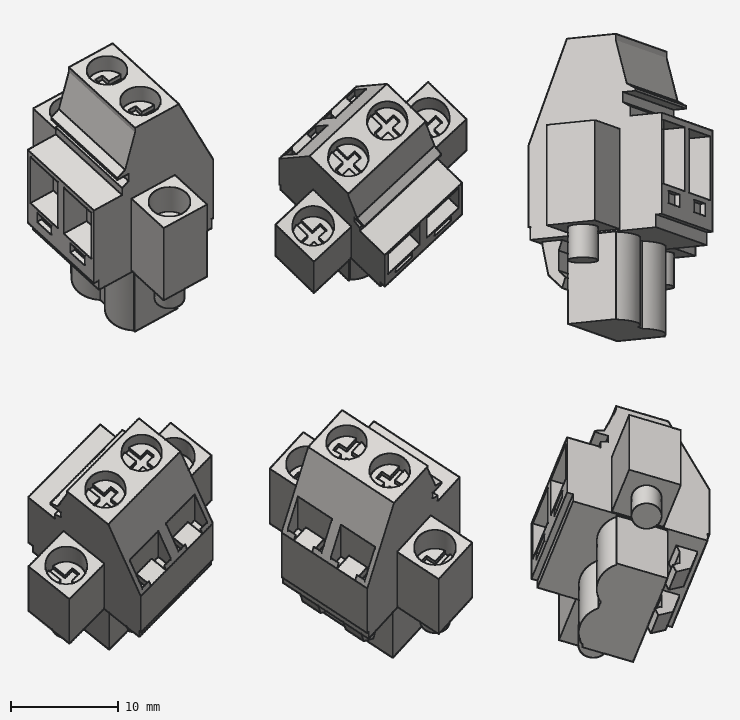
import cadquery as cq

POLE_PITCH = 5.1
POLE_X = (-POLE_PITCH / 2, POLE_PITCH / 2)

TOTAL_HEIGHT = 27.1
HOUSING_BOTTOM = 8.32
STEP_TOP = 9.55
LEDGE_TOP = 19.15
BACK_SLOPE_BOTTOM = 17.3

HOUSING_WIDTH = 10.14
BACK_Y = 7.1
FRONT_Y = -7.0
BACK_STEP = 0.2
FRONT_STEP = 0.6
TOWER_BACK_Y = 3.04
TOWER_FRONT_Y = -2.15

TOWER_LIP_HEIGHT = 0.6
RIDGE_ROOT = (-3.3, 22.28)
RIDGE_TIP = (-4.23, 21.73)
RIDGE_BOTTOM = 21.5
GROOVE_Y = -2.9
GROOVE_BOTTOM = 20.55
NECK_Y = -3.65
NECK_TOP = 20.08

PLUG_WIDTH = 9.8
PLUG_BACK_Y = 3.0
PLUG_FRONT_Y = -2.03
RIB_WIDTH = 4.35
RIB_DEPTH = 0.98

WINDOW_WIDTH = 4.17
WINDOW_BOTTOM = 12.47
WINDOW_TOP = 18.54
WINDOW_DEPTH = 2.7
TEST_SLOT_WIDTH = 2.17
TEST_SLOT_BOTTOM = 10.79
TEST_SLOT_TOP = 11.98
TEST_SLOT_DEPTH = 0.55

LATCH_WIDTH = 2.15
LATCH_OUTLINE = [
    (6.4, HOUSING_BOTTOM),
    (6.4, 8.0),
    (5.77, 5.1),
    (4.3, 3.75),
    (3.95, 4.75),
    (4.65, 5.45),
    (4.65, 7.35),
    (4.3, HOUSING_BOTTOM),
]
RECESS_FRONT_Y = 5.25
POCKET_BACK_Y = 6.83
POCKET_WIDTH = 4.05
POCKET_DEPTH = 1.08

TOTAL_WIDTH = 19.97
FLANGE_DEPTH = 5.12
FLANGE_BOTTOM = 8.48
FLANGE_TOP = 18.02
FLANGE_SCREW_OFFSET = 7.55
FLANGE_SCREW_X = (-FLANGE_SCREW_OFFSET, FLANGE_SCREW_OFFSET)

FLANGE_HEAD_RADIUS = 1.95
FLANGE_HEAD_SINK = 3.25
FLANGE_HEAD_HEIGHT = 2.17
FLANGE_HEAD_TOP = FLANGE_TOP - FLANGE_HEAD_SINK
FLANGE_HEAD_BOTTOM = FLANGE_HEAD_TOP - FLANGE_HEAD_HEIGHT
SHANK_RADIUS = 1.4
SHANK_BOTTOM = 5.35
FLANGE_CROSS_LENGTH = 2.65

CLAMP_Y = 0.43
CLAMP_RADIUS = 1.9
CLAMP_SINK = 1.92
CLAMP_LENGTH = 4.06
CLAMP_TOP = TOTAL_HEIGHT - CLAMP_SINK
CLAMP_BOTTOM = CLAMP_TOP - CLAMP_LENGTH
CLAMP_CROSS_LENGTH = 2.5

SLOT_WIDTH = 0.6
CROSS_WIDTH = 0.85
DRIVE_DEPTH = 0.55


def block(x_centre, width, y_limits, z_limits):
    """Box centred on x_centre, between the given Y and Z limits."""
    y_low, y_high = y_limits
    z_low, z_high = z_limits
    size = (width, y_high - y_low, z_high - z_low)
    return cq.Workplane("XY").box(*size, centered=(True, False, False)).translate((x_centre, y_low, z_low))


def cylinder(x, y, radius, z_limits):
    """Upright cylinder at (x, y) between the given Z limits."""
    z_low, z_high = z_limits
    return cq.Workplane("XY", origin=(x, y, z_low)).circle(radius).extrude(z_high - z_low)


def side_profile(outline, x_centre, width):
    """Closed (Y, Z) outline extruded along X, centred on x_centre."""
    plane = cq.Workplane("YZ", origin=(x_centre, 0, 0))
    return plane.polyline(outline).close().extrude(width / 2, both=True)


def shell_block():
    """Main housing block with its tapered tower."""
    outline = [
        (BACK_Y - BACK_STEP, HOUSING_BOTTOM),
        (BACK_Y - BACK_STEP, STEP_TOP),
        (BACK_Y, STEP_TOP),
        (BACK_Y, BACK_SLOPE_BOTTOM),
        (TOWER_BACK_Y, TOTAL_HEIGHT),
        (TOWER_FRONT_Y, TOTAL_HEIGHT),
        (TOWER_FRONT_Y, TOTAL_HEIGHT - TOWER_LIP_HEIGHT),
        RIDGE_ROOT,
        RIDGE_TIP,
        (RIDGE_TIP[0], RIDGE_BOTTOM),
        (GROOVE_Y, RIDGE_BOTTOM),
        (GROOVE_Y, GROOVE_BOTTOM),
        (NECK_Y, NECK_TOP),
        (NECK_Y, LEDGE_TOP),
        (FRONT_Y, LEDGE_TOP),
        (FRONT_Y, STEP_TOP),
        (FRONT_Y + FRONT_STEP, STEP_TOP),
        (FRONT_Y + FRONT_STEP, HOUSING_BOTTOM),
    ]
    return side_profile(outline, 0, HOUSING_WIDTH)


def plug():
    """Plug below the housing: a flat back and one shallow arc per pole in front."""
    half_width = PLUG_WIDTH / 2
    sketch = cq.Workplane("XY").moveTo(-half_width, PLUG_BACK_Y).lineTo(-half_width, PLUG_FRONT_Y)
    for x in POLE_X:
        sketch = sketch.lineTo(x - RIB_WIDTH / 2, PLUG_FRONT_Y)
        sketch = sketch.threePointArc((x, PLUG_FRONT_Y - RIB_DEPTH), (x + RIB_WIDTH / 2, PLUG_FRONT_Y))
    sketch = sketch.lineTo(half_width, PLUG_FRONT_Y).lineTo(half_width, PLUG_BACK_Y)
    return sketch.close().extrude(HOUSING_BOTTOM)


def flanges():
    """Bar from flange to flange, passing through the housing."""
    y_limits = (-FLANGE_DEPTH / 2, FLANGE_DEPTH / 2)
    return block(0, TOTAL_WIDTH, y_limits, (FLANGE_BOTTOM, FLANGE_TOP))


def front_openings(x):
    """Wire window and the small test slot below it."""
    window_y = (FRONT_Y, FRONT_Y + WINDOW_DEPTH)
    slot_y = (FRONT_Y, FRONT_Y + TEST_SLOT_DEPTH)
    window = block(x, WINDOW_WIDTH, window_y, (WINDOW_BOTTOM, WINDOW_TOP))
    test_slot = block(x, TEST_SLOT_WIDTH, slot_y, (TEST_SLOT_BOTTOM, TEST_SLOT_TOP))
    return window.union(test_slot)


def latch_recess(x):
    """Notch in the sloping back, open to the rear, with a deeper pocket on either side of it."""
    notch_z = (BACK_SLOPE_BOTTOM, TOTAL_HEIGHT)
    pocket_z = (BACK_SLOPE_BOTTOM - POCKET_DEPTH, TOTAL_HEIGHT)
    tab_z = (pocket_z[0], BACK_SLOPE_BOTTOM)
    notch = block(x, LATCH_WIDTH, (RECESS_FRONT_Y, BACK_Y), notch_z)
    pocket = block(x, POCKET_WIDTH, (RECESS_FRONT_Y, POCKET_BACK_Y), pocket_z)
    tab = block(x, LATCH_WIDTH, (RECESS_FRONT_Y, BACK_Y), tab_z)
    return pocket.cut(tab).union(notch)


def clamp_screw_hole(x):
    """Blind hole that holds a clamp screw."""
    return cylinder(x, CLAMP_Y, CLAMP_RADIUS, (CLAMP_BOTTOM, TOTAL_HEIGHT))


def flange_screw_hole(x):
    """Through hole for a flange screw, widened from above for its head."""
    shank_hole = cylinder(x, 0, SHANK_RADIUS, (FLANGE_BOTTOM, FLANGE_TOP))
    head_hole = cylinder(x, 0, FLANGE_HEAD_RADIUS, (FLANGE_HEAD_BOTTOM, FLANGE_TOP))
    return shank_hole.union(head_hole)


def make_housing():
    body = shell_block().union(plug()).union(flanges())
    for x in POLE_X:
        body = body.union(side_profile(LATCH_OUTLINE, x, LATCH_WIDTH))
        body = body.cut(front_openings(x))
        body = body.cut(latch_recess(x))
        body = body.cut(clamp_screw_hole(x))
    for x in FLANGE_SCREW_X:
        body = body.cut(flange_screw_hole(x))
    return body


def drive_cut(x, y, head_radius, cross_length, head_top):
    """Slot along Y across the whole head, crossed by a shorter bar along X."""
    z_limits = (head_top - DRIVE_DEPTH, head_top)
    slot = block(x, SLOT_WIDTH, (y - head_radius, y + head_radius), z_limits)
    cross_bar = block(x, cross_length, (y - CROSS_WIDTH / 2, y + CROSS_WIDTH / 2), z_limits)
    return slot.union(cross_bar)


def make_clamp_screw(x):
    screw = cylinder(x, CLAMP_Y, CLAMP_RADIUS, (CLAMP_BOTTOM, CLAMP_TOP))
    return screw.cut(drive_cut(x, CLAMP_Y, CLAMP_RADIUS, CLAMP_CROSS_LENGTH, CLAMP_TOP))


def make_flange_screw(x):
    head = cylinder(x, 0, FLANGE_HEAD_RADIUS, (FLANGE_HEAD_BOTTOM, FLANGE_HEAD_TOP))
    shank = cylinder(x, 0, SHANK_RADIUS, (SHANK_BOTTOM, FLANGE_HEAD_BOTTOM))
    cut = drive_cut(x, 0, FLANGE_HEAD_RADIUS, FLANGE_CROSS_LENGTH, FLANGE_HEAD_TOP)
    return head.union(shank).cut(cut)


housing = make_housing()
clamp_screws = [make_clamp_screw(x).val() for x in POLE_X]
flange_screws = [make_flange_screw(x).val() for x in FLANGE_SCREW_X]

result = cq.Compound.makeCompound([housing.val(), *clamp_screws, *flange_screws])